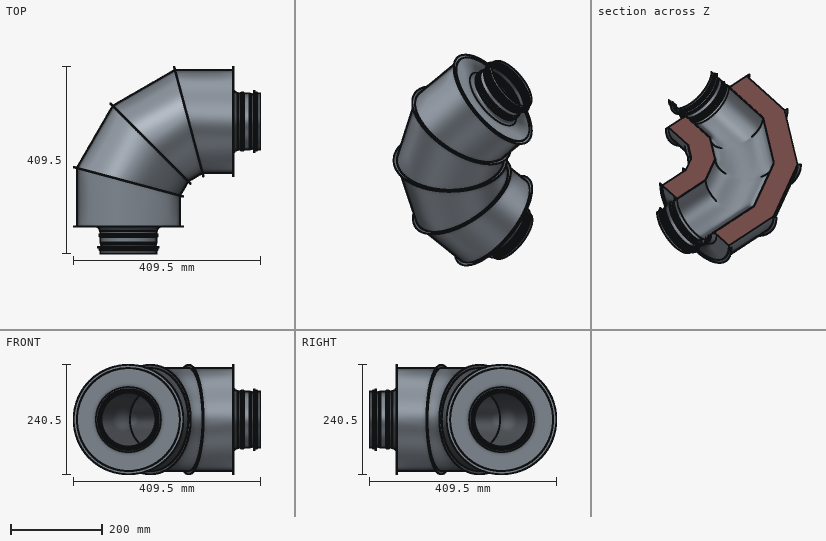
import cadquery as cq
import math

overall_size = 409.5
flange_diameter = 240.5
end_reach = overall_size - flange_diameter / 2
bend_radius = 180.5
segment_angle = 30.0
half_mitre = math.radians(segment_angle / 2)

casing_diameter = 226.5
casing_bore = 225.0
flange_thickness = 1.5

duct_diameter = 124.0
duct_bore = 123.0
wall = (duct_diameter - duct_bore) / 2
spigot_length = 58.5
tip_diameter = 123.3
collar_diameter = 126.5
flare_radius = 8.0
bead_diameter = 129.0
bead_bore = bead_diameter - 2 * wall
shoulder_diameter = 122.5
groove_diameter = 118.8
groove_bore = groove_diameter - 2 * wall
seal_band_diameter = 122.0
seal_lip_diameter = 134.0

tip_taper_end = 1.5
rim_slope_start = 6.0
rim_peak_start = 8.5
rim_end = 10.5
seal_lip_start = 12.5
seal_lip_end = 14.5
seal_band_start = 16.0
seal_band_end = 20.5
shoulder_start = 22.5
shoulder_end = 24.5
bead_middle = 39.7
bead_half_width = 4.0
bead_flank_half_width = 2.5
bead_crest_half_width = 1.0
collar_end = 48.5

casing_end = end_reach - spigot_length

tangent_gap = bend_radius * (1 - math.tan(half_mitre))
middle_gap = bend_radius * (1 - math.cos(math.pi / 4) / math.cos(half_mitre))
seam_centres = [(0, -tangent_gap), (middle_gap, -middle_gap), (tangent_gap, 0)]
seam_angles = [90 - segment_angle / 2, 45, segment_angle / 2]


def mitred_bar(diameter):
    """Solid round bar along the mitred centre line, from one casing end face to the other."""
    centre_line = cq.Workplane("XY").polyline([(0, -casing_end), *seam_centres, (casing_end, 0)])
    section = cq.Workplane("XZ", origin=(0, -casing_end, 0)).circle(diameter / 2)
    return section.sweep(centre_line, transition="right")


def on_x_end(body):
    """Bring a body from the -Y end to the +X end by a half turn about the bend's diagonal."""
    return body.rotate((0, 0, 0), (1, -1, 0), 180)


def end_flange():
    """Flange disc at the -Y end face of the casing."""
    section = cq.Workplane("XZ", origin=(0, -casing_end, 0)).circle(flange_diameter / 2)
    return section.extrude(-flange_thickness)


def seam_slab(centre, angle):
    """Thin disc lying in a seam plane, large enough to cross the whole bend there."""
    direction = cq.Vector(math.cos(math.radians(angle)), math.sin(math.radians(angle)), 0)
    start = cq.Vector(*centre, 0) - direction * (flange_thickness / 2)
    plane = cq.Plane(origin=start, normal=direction)
    return cq.Workplane(plane).circle(flange_diameter).extrude(flange_thickness)


def make_casing():
    """Thin mitred shell with a flange at each end and at each seam."""
    body = mitred_bar(casing_diameter)
    flange_bar = mitred_bar(flange_diameter)
    for centre, angle in zip(seam_centres, seam_angles):
        body = body.union(flange_bar.intersect(seam_slab(centre, angle)))
    flange = end_flange()
    body = body.union(flange).union(on_x_end(flange))
    return body.cut(mitred_bar(casing_bore))


def make_insulation():
    """Filling between the casing and the duct, flush with the casing ends."""
    return mitred_bar(casing_bore).cut(mitred_bar(duct_diameter))


def at(diameter, distance):
    """Profile point of the -Y spigot at a given diameter and distance from the tip."""
    return (diameter / 2, distance - end_reach)


def add_bead(profile, base, crest, direction):
    """Continue a profile over a bead with S-shaped flanks; direction is +1 going away from the tip."""
    middle = (base + crest) / 2
    arc_bulge = (crest - base) / 6
    foot_middle = (bead_half_width + bead_flank_half_width) / 2
    shoulder_middle = (bead_flank_half_width + bead_crest_half_width) / 2

    def bead_point(diameter, offset):
        return at(diameter, bead_middle + direction * offset)

    half_outline = [
        (base, bead_half_width),
        (base + arc_bulge, foot_middle),
        (middle, bead_flank_half_width),
        (crest - arc_bulge, shoulder_middle),
        (crest, bead_crest_half_width),
    ]
    foot, hollow, turn, shoulder, top = [bead_point(diameter, -offset) for diameter, offset in half_outline]
    profile = profile.lineTo(*foot).threePointArc(hollow, turn).threePointArc(shoulder, top)
    foot, hollow, turn, shoulder, top = [bead_point(diameter, offset) for diameter, offset in half_outline]
    return profile.lineTo(*top).threePointArc(shoulder, turn).threePointArc(hollow, foot)


def make_spigot():
    """Spigot of the -Y end: flared collar, hollow bead, seal in its groove and hollow rim."""
    flare_end = spigot_length - flare_radius
    flare_diameter = collar_diameter + 2 * flare_radius
    arc_inset = flare_radius * (1 - math.sqrt(0.5))
    profile = (
        cq.Workplane("XY")
        .moveTo(*at(duct_bore, spigot_length))
        .lineTo(*at(flare_diameter, spigot_length))
        .threePointArc(
            at(collar_diameter + 2 * arc_inset, spigot_length - arc_inset),
            at(collar_diameter, flare_end),
        )
        .lineTo(*at(duct_diameter, collar_end))
    )
    profile = add_bead(profile, duct_diameter, bead_diameter, -1)
    outside = [
        at(duct_diameter, shoulder_end),
        at(shoulder_diameter, shoulder_start),
        at(shoulder_diameter, seal_band_end),
        at(seal_band_diameter, seal_band_end),
        at(groove_diameter, seal_band_start),
        at(groove_diameter, seal_lip_end),
        at(seal_lip_diameter, seal_lip_end),
        at(seal_lip_diameter, seal_lip_start),
        at(seal_band_diameter, seal_lip_start),
        at(seal_band_diameter, rim_end),
        at(bead_diameter, rim_end),
        at(bead_diameter, rim_peak_start),
        at(duct_diameter, rim_slope_start),
        at(duct_diameter, tip_taper_end),
        at(tip_diameter, 0),
    ]
    inside = [
        at(duct_bore, 0),
        at(duct_bore, rim_slope_start),
        at(bead_bore, rim_peak_start),
        at(groove_bore, rim_end),
        at(groove_bore, shoulder_start),
        at(duct_bore, shoulder_end),
    ]
    for point in outside + inside:
        profile = profile.lineTo(*point)
    profile = add_bead(profile, duct_bore, bead_bore, 1).close()
    return profile.revolve(360, (0, 0, 0), (0, 1, 0))


def make_duct():
    """Mitred inner duct with a spigot at each end."""
    body = mitred_bar(duct_diameter).cut(mitred_bar(duct_bore))
    end = make_spigot()
    return body.union(end).union(on_x_end(end))


casing = make_casing().solids().val()
insulation = make_insulation().solids().val()
duct = make_duct().solids().val()
result = cq.Compound.makeCompound([casing, insulation, duct])